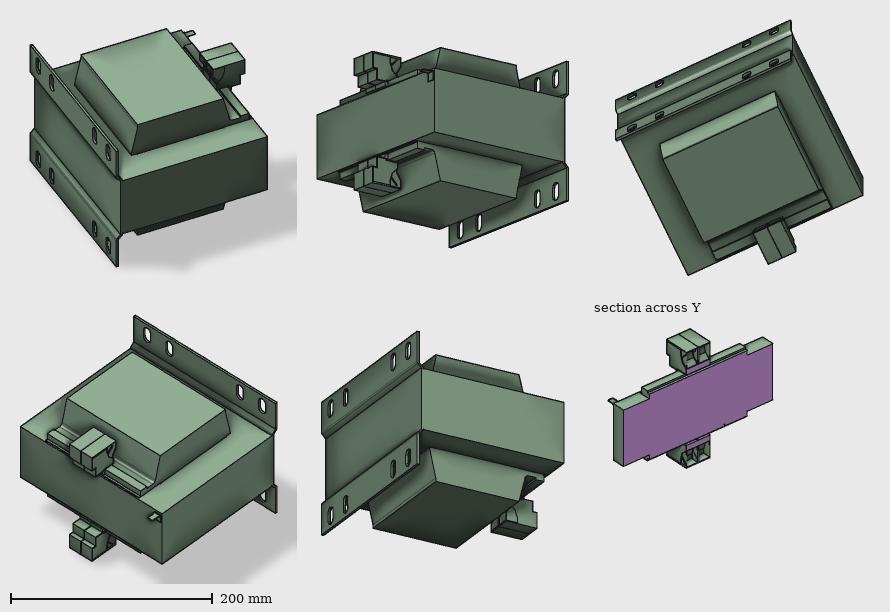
import cadquery as cq

core_width = 192.0
core_height = 66.6
core_back = 167.5
core_top = core_height / 2

plate_height = 145.0
plate_thickness = 2.5
joggle = 4.8
bend_end = 38.4
bend_shift = 0.4
plate_top = plate_height / 2
base_back = joggle + plate_thickness

slot_length = 18.5
slot_height = 58.5
outer_slot_x = 78.0
outer_slot_width = 9.5
inner_slot_x = 47.8
inner_slot_width = 8.8

coil_width = 126.3
coil_height = 138.6
coil_foot = 33.0
coil_foot_height = 2.0
coil_front = 40.0
coil_back = 134.8
coil_band = 3.8
window_front = 39.4
window_back = 135.2
window_gap = 0.5
coil_top = coil_height / 2

ledge_top = 38.8
ledge_front = 142.7
ledge_fillet = 4.0
rail_front = 154.2
rail_back = 163.4
rail_top = 41.0
lip_back = 165.9
lip_height = 1.0

terminal_count = 2
terminal_pitch = 15.4
terminal_back = 182.5
terminal_front = 147.5
terminal_top = 68.4
terminal_step_y = 177.6
terminal_step_z = 51.0
terminal_bottom = 39.7
cheek_corner_z = 58.8
cheek_y = 152.0
cheek_z = 51.8
chin_y = 151.0
chin_z = 48.4
seat_back = 165.1
pocket_back = 160.5
pocket_bend_z = 61.2
pocket_low_y = 157.8
pocket_low_z = 53.4
cheek_thickness = 1.0
lid_thickness = 1.5
panel_thickness = 0.2
panel_inset = 0.8
slit_length = 9.6
slit_width = 0.8
slit_y = 155.7
slit_z = 61.6
hook_back = 167.5
hook_bottom = 35.3
hook_top = 40.1

tab_x = -90.5
tab_thickness = 0.8
tab_root_width = 8.3
tab_width = 6.5
tab_root_end = 170.5
tab_end = 179.0
tab_tip_chamfer = 0.8
tab_top = 30.7
tab_leg_bottom = 21.3


def box(x0, x1, y0, y1, z0, z1):
    """Box between two opposite corners."""
    return cq.Workplane("XY").box(x1 - x0, y1 - y0, z1 - z0, centered=False).translate((x0, y0, z0))


def extrude_side(points, x0, x1):
    """Extrude a closed (Y, Z) outline from x0 to x1."""
    return cq.Workplane("YZ", origin=(x0, 0, 0)).polyline(points).close().extrude(x1 - x0)


def with_mirror(shape):
    """Join a shape on the +Z side with its mirror image on the -Z side."""
    return shape.union(shape.mirror("XY"))


def make_core():
    core = box(-core_width / 2, core_width / 2, base_back, core_back, -core_top, core_top)
    for side in (-1, 1):
        inner_x = side * coil_width / 2
        outer_x = inner_x + side * window_gap
        gap = box(min(inner_x, outer_x), max(inner_x, outer_x), window_front, window_back, -core_top, core_top)
        core = core.cut(gap)
    return core


def make_plate():
    bend_start = bend_end - joggle
    half_outline = [
        (joggle, 0),
        (joggle, bend_start),
        (0, bend_end),
        (0, plate_top),
        (plate_thickness, plate_top),
        (plate_thickness, bend_end + bend_shift),
        (base_back, bend_start + bend_shift),
        (base_back, 0),
    ]
    half = extrude_side(half_outline, -core_width / 2, core_width / 2)
    outer_bends = [(0, bend_end), (base_back, bend_start + bend_shift)]
    for y, z in outer_bends:
        half = half.edges(cq.selectors.NearestToPointSelector((0, y, z))).fillet(plate_thickness)
    for x, width in ((outer_slot_x, outer_slot_width), (inner_slot_x, inner_slot_width)):
        slots = (
            cq.Workplane("XZ")
            .pushPoints([(-x, slot_height), (x, slot_height)])
            .slot2D(slot_length, width, 90)
            .extrude(-plate_thickness)
        )
        half = half.cut(slots)
    return with_mirror(half)


def make_coil_end():
    """Coil overhang above the core together with its terminal rail."""
    outline = [
        (coil_foot, core_top),
        (coil_foot, core_top + coil_foot_height),
        (coil_front, coil_top - coil_band),
        (coil_front, coil_top),
        (coil_back, coil_top),
        (ledge_front, ledge_top),
        (rail_front, ledge_top),
        (rail_front, rail_top),
        (rail_back, rail_top),
        (rail_back, core_top + lip_height),
        (lip_back, core_top + lip_height),
        (lip_back, core_top),
    ]
    coil_end = extrude_side(outline, -coil_width / 2, coil_width / 2)
    ledge_corner = cq.selectors.NearestToPointSelector((0, ledge_front, ledge_top))
    return coil_end.edges(ledge_corner).fillet(ledge_fillet)


def make_terminal(x0):
    """One terminal block whose -X side lies at x0, with an open wire pocket at the front.

    A slanted slit pierces the -X cheek of the pocket and a thin panel covers the rest of that side.
    """
    body_x0 = x0 + panel_thickness
    body_x1 = x0 + terminal_pitch
    back_outline = [
        (seat_back, rail_top),
        (seat_back, terminal_bottom),
        (terminal_step_y, terminal_bottom),
        (terminal_step_y, terminal_step_z),
        (terminal_back, terminal_step_z),
        (terminal_back, terminal_top),
    ]
    front_outline = [
        (terminal_front, terminal_top),
        (terminal_front, cheek_corner_z),
        (cheek_y, cheek_z),
        (cheek_y, chin_z),
        (chin_y, chin_z),
        (chin_y, rail_top),
    ]
    pocket_wall = [
        (pocket_back, terminal_top - lid_thickness),
        (pocket_back, pocket_bend_z),
        (pocket_low_y, pocket_low_z),
        (cheek_y, chin_z),
    ]
    terminal = extrude_side(back_outline + front_outline, body_x0, body_x1)

    pocket_mouth = [(terminal_front, chin_z), (terminal_front, terminal_top - lid_thickness)]
    pocket = extrude_side(pocket_wall + pocket_mouth, body_x0 + cheek_thickness, body_x1 - cheek_thickness)
    terminal = terminal.cut(pocket)

    slit = (
        cq.Workplane("YZ", origin=(body_x0, slit_y, slit_z))
        .transformed(rotate=(0, 0, -45))
        .rect(slit_length, slit_width)
        .extrude(cheek_thickness)
    )
    terminal = terminal.cut(slit)

    panel_outline = [
        (chin_y + panel_inset, rail_top + panel_inset),
        (seat_back + panel_inset, rail_top + panel_inset),
        (seat_back + panel_inset, terminal_bottom + panel_inset),
        (terminal_step_y - panel_inset, terminal_bottom + panel_inset),
        (terminal_step_y - panel_inset, terminal_step_z + panel_inset),
        (terminal_back - panel_inset, terminal_step_z + panel_inset),
        (terminal_back - panel_inset, terminal_top - lid_thickness),
    ]
    panel = extrude_side(panel_outline + pocket_wall, x0, body_x0)
    hook = box(body_x0, body_x1, rail_back, hook_back, hook_bottom, hook_top)
    return terminal.union(panel).union(hook)


def make_earth_tab():
    """Flat push-on tab bent from a leg lying against the back of the core."""
    half_root = tab_root_width / 2
    half_tip = tab_width / 2
    leg_back = core_back + tab_thickness
    leg = box(tab_x - half_root, tab_x + half_root, core_back, leg_back, tab_leg_bottom, tab_top)
    root = box(
        tab_x - half_root, tab_x + half_root, core_back, tab_root_end, tab_top - tab_thickness, tab_top
    )
    blade = box(tab_x - half_tip, tab_x + half_tip, core_back, tab_end, tab_top - tab_thickness, tab_top)
    blade = blade.edges("|Z and >Y").chamfer(tab_tip_chamfer)
    return leg.union(root).union(blade)


coil_end = make_coil_end()
for index in range(terminal_count):
    coil_end = coil_end.union(make_terminal((index - terminal_count / 2) * terminal_pitch))

result = make_core().union(make_plate()).union(with_mirror(coil_end)).union(make_earth_tab())